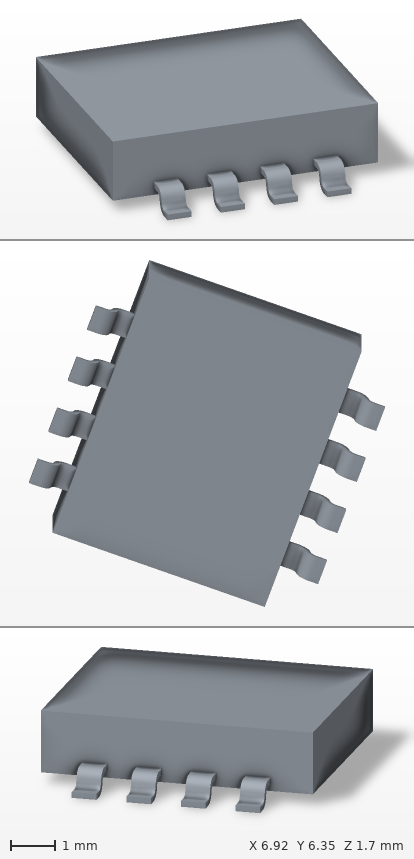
import cadquery as cq
import math


SPAN_X = 6.92
TOTAL_HEIGHT = 1.7

HOUSING_X = 5.08
HOUSING_Y = 6.35
STANDOFF = 0.25
HOUSING_HEIGHT = TOTAL_HEIGHT - STANDOFF

LEADS_PER_SIDE = 4
LEAD_PITCH = 1.27
LEAD_WIDTH = 0.575
LEAD_THICKNESS = 0.14
LEAD_HEIGHT = 0.57
SHOULDER_LENGTH = 0.24
INNER_RADIUS = 0.145
OUTER_RADIUS = INNER_RADIUS + LEAD_THICKNESS
BEND_ANGLE = math.radians(75)

RADIUS_SUM = INNER_RADIUS + OUTER_RADIUS
LEAD_DROP = LEAD_HEIGHT - LEAD_THICKNESS
LEG_DROP = LEAD_DROP - RADIUS_SUM * (1 - math.cos(BEND_ANGLE))
LEG_RUN = LEG_DROP / math.tan(BEND_ANGLE)

UPPER_CENTRE_X = HOUSING_X / 2 + SHOULDER_LENGTH
UPPER_CENTRE_Z = LEAD_HEIGHT - OUTER_RADIUS
LOWER_CENTRE_X = UPPER_CENTRE_X + RADIUS_SUM * math.sin(BEND_ANGLE) + LEG_RUN
LOWER_CENTRE_Z = OUTER_RADIUS


def upper_bend(radius, angle):
    """Point on the upper bend, at an angle from the top of the arc."""
    return (
        UPPER_CENTRE_X + radius * math.sin(angle),
        UPPER_CENTRE_Z + radius * math.cos(angle),
    )


def lower_bend(radius, angle):
    """Point on the lower bend, at an angle from the bottom of the arc."""
    return (
        LOWER_CENTRE_X - radius * math.sin(angle),
        LOWER_CENTRE_Z - radius * math.cos(angle),
    )


def make_housing():
    """Plain rectangular block, raised by the standoff."""
    return (
        cq.Workplane("XY")
        .workplane(offset=STANDOFF)
        .rect(HOUSING_X, HOUSING_Y)
        .extrude(HOUSING_HEIGHT)
    )


def make_lead(lead_y):
    """Gull-wing lead on the +X side, butted against the housing."""
    half_angle = BEND_ANGLE / 2
    root_x = HOUSING_X / 2
    tip_x = SPAN_X / 2
    return (
        cq.Workplane("XZ", origin=(0, lead_y, 0))
        .moveTo(root_x, LEAD_HEIGHT)
        .lineTo(*upper_bend(OUTER_RADIUS, 0))
        .threePointArc(upper_bend(OUTER_RADIUS, half_angle), upper_bend(OUTER_RADIUS, BEND_ANGLE))
        .lineTo(*lower_bend(INNER_RADIUS, BEND_ANGLE))
        .threePointArc(lower_bend(INNER_RADIUS, half_angle), lower_bend(INNER_RADIUS, 0))
        .lineTo(tip_x, LEAD_THICKNESS)
        .lineTo(tip_x, 0)
        .lineTo(*lower_bend(OUTER_RADIUS, 0))
        .threePointArc(lower_bend(OUTER_RADIUS, half_angle), lower_bend(OUTER_RADIUS, BEND_ANGLE))
        .lineTo(*upper_bend(INNER_RADIUS, BEND_ANGLE))
        .threePointArc(upper_bend(INNER_RADIUS, half_angle), upper_bend(INNER_RADIUS, 0))
        .lineTo(root_x, LEAD_HEIGHT - LEAD_THICKNESS)
        .close()
        .extrude(LEAD_WIDTH / 2, both=True)
    )


housing = make_housing()

leads = []
for index in range(LEADS_PER_SIDE):
    lead = make_lead((index - (LEADS_PER_SIDE - 1) / 2) * LEAD_PITCH)
    leads.append(lead.val())
    leads.append(lead.mirror("YZ").val())

result = cq.Compound.makeCompound([housing.val(), *leads])